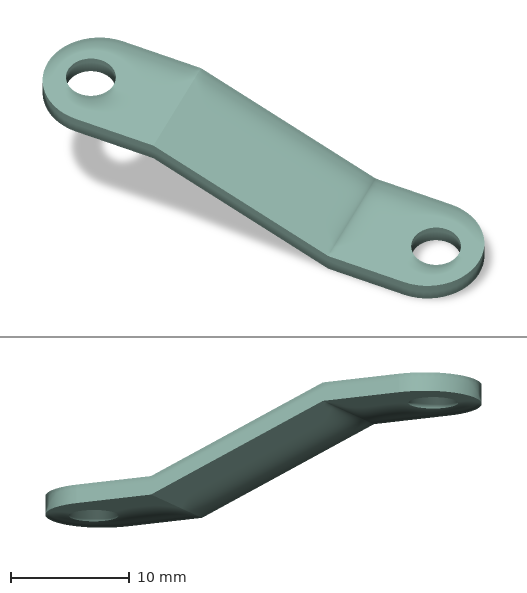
import cadquery as cq

length = 40.0
width = 9.6
height = 8.0
thickness = 1.6

high_flat_length = 12.0
slope_run = 16.2

hole_diameter = 4.2
hole_end_distance = 4.0


def bent_strip():
    """Cranked strip, high at -X and low at +X, extruded across the width."""
    half_length = length / 2
    high_bend = -half_length + high_flat_length
    low_bend = high_bend + slope_run
    profile = [
        (-half_length, height),
        (high_bend, height),
        (low_bend, thickness),
        (half_length, thickness),
        (half_length, 0),
        (low_bend, 0),
        (high_bend, height - thickness),
        (-half_length, height - thickness),
    ]
    return cq.Workplane("XZ").polyline(profile).close().extrude(width / 2, both=True)


def rounded_outline():
    """Upright slot-shaped prism that gives the strip its round ends."""
    return cq.Workplane("XY").slot2D(length, width).extrude(height)


def screw_holes():
    """Two upright cylinders, one near each end."""
    hole_spacing = length - 2 * hole_end_distance
    return (
        cq.Workplane("XY")
        .rarray(hole_spacing, 0.4, 2, 1)
        .circle(hole_diameter / 2)
        .extrude(height)
    )


result = bent_strip().intersect(rounded_outline()).cut(screw_holes())